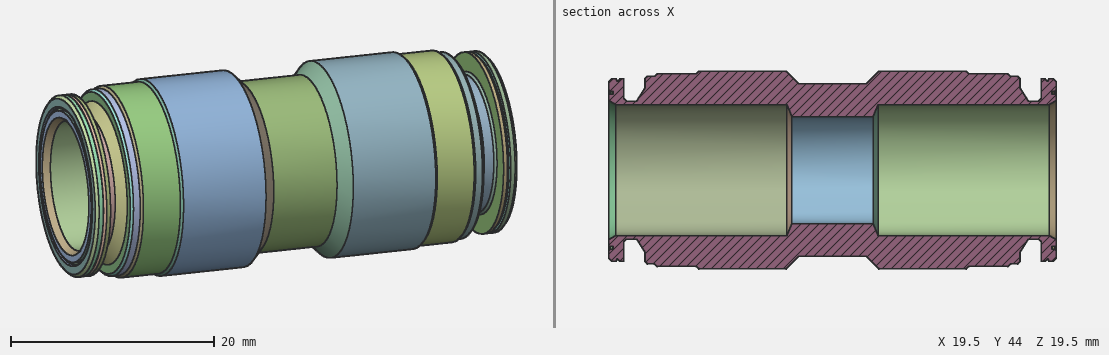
import cadquery as cq
import math

length = 44.0
half_length = length / 2

waist_diameter = 17.0
waist_half_length = 3.3
body_diameter = 19.5
body_half_length = 13.4

sleeve_diameter = 19.0
sleeve_end = 17.5

cap_diameter = 18.5
cap_end = 18.45
cap_chamfer = 0.25

neck_diameter = 13.65
root_diameter = 16.2
root_end = 19.25
neck_chamfer = 0.25
flange_diameter = 18.0
flange_thickness = 1.5
flange_chamfer = 0.3
flange_groove_depth = 0.25
flange_groove_offset = 0.75
flange_groove_width = 0.35

ring_groove_inner_diameter = 15.0
ring_groove_outer_diameter = 15.8
ring_groove_depth = 0.4
ring_groove_chamfer = 0.15

bore_diameter = 10.5
mouth_diameter = 12.85
mouth_chamfer_diameter = 13.65
mouth_chamfer_depth = 0.7
seat_half_length = 4.0
cone_half_angle = 67.0
cone_length = (mouth_diameter - bore_diameter) / 2 / math.tan(math.radians(cone_half_angle))


def revolve(points):
    """Revolve a closed (radius, y) outline about the Y axis."""
    return cq.Workplane("XY").polyline(points).close().revolve(360, (0, 0), (0, 1))


def revolve_both_ends(points):
    """Revolve a (radius, y) outline of the +Y half together with its mirror image in the XZ plane."""
    mirrored = [(radius, -y) for radius, y in reversed(points)]
    return revolve(mirrored + points)


def outer_form():
    """Outside of the coupling, from the waist out to the end faces."""
    waist_r = waist_diameter / 2
    body_r = body_diameter / 2
    sleeve_r = sleeve_diameter / 2
    body_chamfer = body_r - sleeve_r
    cap_r = cap_diameter / 2
    sleeve_chamfer = sleeve_r - cap_r
    neck_r = neck_diameter / 2
    flange_r = flange_diameter / 2
    flange_start = half_length - flange_thickness
    groove_y = half_length - flange_groove_offset
    return revolve_both_ends([
        (waist_r, waist_half_length),
        (body_r, waist_half_length + body_r - waist_r),
        (body_r, body_half_length - body_chamfer),
        (sleeve_r, body_half_length),
        (sleeve_r, sleeve_end - sleeve_chamfer),
        (cap_r, sleeve_end),
        (cap_r, cap_end - cap_chamfer),
        (cap_r - cap_chamfer, cap_end),
        (root_diameter / 2, cap_end),
        (neck_r, root_end),
        (neck_r, flange_start - neck_chamfer),
        (neck_r + neck_chamfer, flange_start),
        (flange_r, flange_start),
        (flange_r, groove_y - flange_groove_width),
        (flange_r - flange_groove_depth, groove_y - flange_groove_width + flange_groove_depth),
        (flange_r, groove_y),
        (flange_r, half_length - flange_chamfer),
        (flange_r - flange_chamfer, half_length),
        (0, half_length),
    ])


def bore():
    """Through bore with a stepped, chamfered socket at each end."""
    return revolve_both_ends([
        (bore_diameter / 2, seat_half_length),
        (mouth_diameter / 2, seat_half_length + cone_length),
        (mouth_diameter / 2, half_length - mouth_chamfer_depth),
        (mouth_chamfer_diameter / 2, half_length),
        (0, half_length),
    ])


def ring_groove():
    """Ring cut into the +Y end face."""
    floor = half_length - ring_groove_depth
    wall_r = ring_groove_outer_diameter / 2 - ring_groove_chamfer
    return revolve([
        (ring_groove_inner_diameter / 2, floor),
        (wall_r, floor),
        (wall_r, half_length - ring_groove_chamfer),
        (ring_groove_outer_diameter / 2, half_length),
        (ring_groove_inner_diameter / 2, half_length),
    ])


end_groove = ring_groove()
result = outer_form().cut(bore()).cut(end_groove).cut(end_groove.mirror("XZ"))